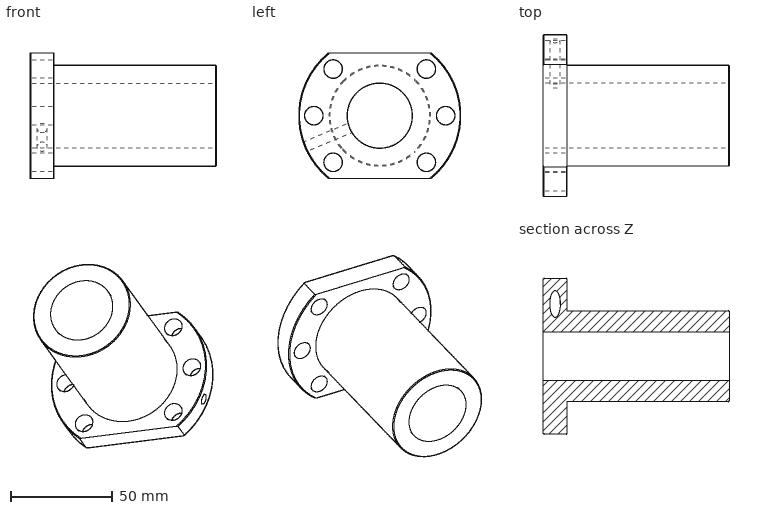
import cadquery as cq

total_length = 92.0
flange_diameter = 80.0
flange_thickness = 12.0
flange_height = 62.0
body_diameter = 50.0
bore_diameter = 32.0
edge_chamfer = 0.5

bolt_circle_diameter = 65.0
bolt_hole_diameter = 9.0
bolt_hole_angles = (-45, 0, 45, 135, 180, 225)

oil_hole_diameter = 5.0
oil_hole_angle = -22.5


def cylinder(diameter, length):
    """Cylinder on the part axis starting at X = 0."""
    return cq.Workplane("YZ").circle(diameter / 2).extrude(length)


def make_flange():
    disc = cylinder(flange_diameter, flange_thickness).edges().chamfer(edge_chamfer)
    flats = cq.Workplane("YZ").rect(flange_diameter, flange_height).extrude(flange_thickness)
    return disc.intersect(flats)


def make_body():
    return cylinder(body_diameter, total_length).faces(">X").edges().chamfer(edge_chamfer)


def make_bolt_holes():
    holes = cq.Workplane("YZ")
    for angle in bolt_hole_angles:
        holes = holes.union(
            cq.Workplane("YZ")
            .center(bolt_circle_diameter / 2, 0)
            .circle(bolt_hole_diameter / 2)
            .extrude(flange_thickness)
            .rotate((0, 0, 0), (1, 0, 0), angle)
        )
    return holes


def make_oil_hole():
    return (
        cq.Workplane("XZ")
        .center(flange_thickness / 2, 0)
        .circle(oil_hole_diameter / 2)
        .extrude(-flange_diameter / 2)
        .rotate((0, 0, 0), (1, 0, 0), oil_hole_angle)
    )


result = (
    make_flange()
    .union(make_body())
    .cut(cylinder(bore_diameter, total_length))
    .cut(make_bolt_holes())
    .cut(make_oil_hole())
)